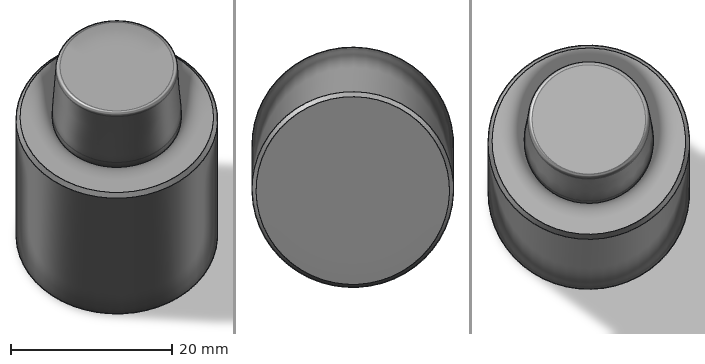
import cadquery as cq

total_height = 34.0
body_diameter = 25.0
body_height = 24.0
body_chamfer = 0.5
knob_base_diameter = 16.0
knob_top_diameter = 15.03
knob_collar_height = 1.0
knob_top_fillet = 0.5

body_radius = body_diameter / 2
knob_base_radius = knob_base_diameter / 2
knob_top_radius = knob_top_diameter / 2
collar_top = body_height + knob_collar_height


def make_body():
    """Cylindrical body chamfered at both ends."""
    body = cq.Workplane("XY").circle(body_radius).extrude(body_height)
    return body.edges("%CIRCLE").chamfer(body_chamfer)


def make_knob():
    """Straight collar below a tapered knob with a rounded top edge."""
    profile = (
        cq.Workplane("XZ")
        .moveTo(0, body_height)
        .lineTo(knob_base_radius, body_height)
        .lineTo(knob_base_radius, collar_top)
        .lineTo(knob_top_radius, total_height)
        .lineTo(0, total_height)
        .close()
    )
    knob = profile.revolve(360, (0, 0, 0), (0, 1, 0))
    return knob.faces(">Z").edges().fillet(knob_top_fillet)


result = make_body().union(make_knob())